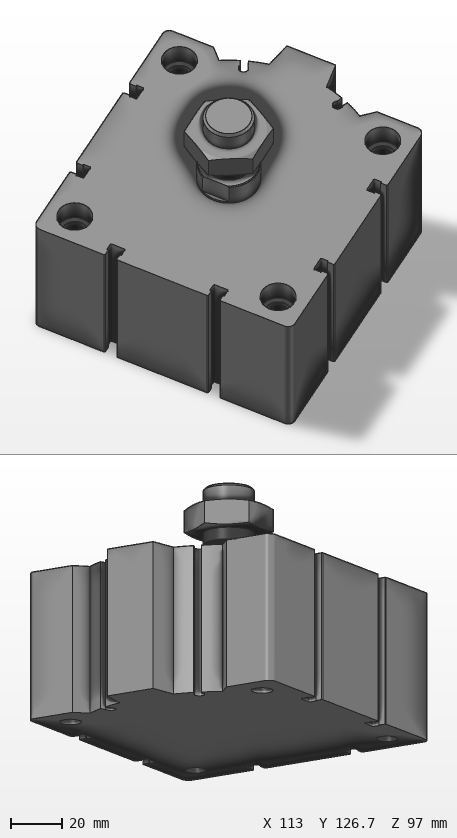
import cadquery as cq
import math


HOUSING_WIDTH = 113.0
HOUSING_HEIGHT = 59.0
CORNER_RADIUS = 3.0
HALF_WIDTH = HOUSING_WIDTH / 2

OVERALL_DEPTH = 126.7
RAIL_TOP_Y = OVERALL_DEPTH - HALF_WIDTH
RAIL_TOP_HALF_WIDTH = 10.6
RAIL_ROOT_HALF_WIDTH = 12.5
BACK_ARC_RADIUS = 60.0
SHOULDER_X = 35.7

KEYHOLE_ANGLE = 21.4
KEYHOLE_CENTRE_RADIUS = 56.4
KEYHOLE_DIAMETER = 4.0
KEYHOLE_NECK_WIDTH = 3.2
KEYHOLE_OVERSHOOT = 1.3

SLOT_OFFSET = 22.5
SLOT_MOUTH_WIDTH = 5.1
SLOT_LIP_DEPTH = 3.0
SLOT_INNER_WIDTH = 6.3
SLOT_DEPTH = 6.2
SLOT_EDGE_CHAMFER = 0.4
SLOT_FLOOR_RADIUS = 0.5

HOLE_OFFSET = 44.5
HOLE_DIAMETER = 8.4
COUNTERBORE_DIAMETER = 14.0
COUNTERBORE_DEPTH = 9.0
HOLE_MOUTH_DIAMETER = 10.0

COLLAR_DIAMETER = 25.0
COLLAR_HEIGHT = 10.0
COLLAR_CHAMFER = 0.4
FLATS_WIDTH = 22.0
FLATS_START = 1.0
NECK_DIAMETER = 17.9
NECK_FOOT_DIAMETER = 18.4
NECK_FOOT_HEIGHT = 10.4
NECK_START = 11.9
NECK_END = 12.4
THREAD_DIAMETER = 20.0
THREAD_START = 15.3
THREAD_CHAMFER = 1.0
ROD_HEIGHT = 38.0

NUT_WIDTH = 30.0
NUT_START = 20.0
NUT_HEIGHT = 10.0
NUT_CHAMFER_ANGLE = 15.0
HEXAGON_HALF_ANGLE = 30.0


def on_back_arc(x):
    return (x, math.sqrt(BACK_ARC_RADIUS**2 - x**2))


def make_profile():
    """Extruded housing outline, before rounding and cutting."""
    rise = HALF_WIDTH - SHOULDER_X
    notch_offset = (math.sqrt(2 * BACK_ARC_RADIUS**2 - rise**2) - rise) / 2
    root_x, root_y = on_back_arc(RAIL_ROOT_HALF_WIDTH)
    notch_x, notch_y = on_back_arc(notch_offset)
    mid_x, mid_y = on_back_arc((root_x + notch_x) / 2)
    return (
        cq.Workplane("XY")
        .moveTo(-HALF_WIDTH, -HALF_WIDTH)
        .lineTo(HALF_WIDTH, -HALF_WIDTH)
        .lineTo(HALF_WIDTH, HALF_WIDTH)
        .lineTo(SHOULDER_X, HALF_WIDTH)
        .lineTo(notch_x, notch_y)
        .threePointArc((mid_x, mid_y), (root_x, root_y))
        .lineTo(RAIL_TOP_HALF_WIDTH, RAIL_TOP_Y)
        .lineTo(-RAIL_TOP_HALF_WIDTH, RAIL_TOP_Y)
        .lineTo(-root_x, root_y)
        .threePointArc((-mid_x, mid_y), (-notch_x, notch_y))
        .lineTo(-SHOULDER_X, HALF_WIDTH)
        .lineTo(-HALF_WIDTH, HALF_WIDTH)
        .close()
        .extrude(HOUSING_HEIGHT)
    )


def round_corners(body):
    for x_side in (-1, 1):
        for y_side in (-1, 1):
            corner = (x_side * HALF_WIDTH, y_side * HALF_WIDTH, HOUSING_HEIGHT / 2)
            body = body.edges(cq.selectors.NearestToPointSelector(corner)).fillet(CORNER_RADIUS)
    return body


def make_t_slot(offset):
    """T-slot cutter in the -Y side at X = offset, with a chamfered mouth and rounded floor corners."""
    mouth = SLOT_MOUTH_WIDTH / 2
    inner = SLOT_INNER_WIDTH / 2
    half_outline = [
        (mouth + SLOT_EDGE_CHAMFER, 0),
        (mouth, SLOT_EDGE_CHAMFER),
        (mouth, SLOT_LIP_DEPTH),
        (inner, SLOT_LIP_DEPTH),
        (inner, SLOT_DEPTH),
    ]
    mirrored_half = [(-x, depth) for x, depth in reversed(half_outline)]
    return (
        cq.Workplane("XY")
        .polyline(half_outline + mirrored_half)
        .close()
        .extrude(HOUSING_HEIGHT)
        .faces(">Y")
        .edges("|Z")
        .fillet(SLOT_FLOOR_RADIUS)
        .translate((offset, -HALF_WIDTH, 0))
    )


def make_keyhole(angle):
    """Keyhole cutter in the back arc, turned by angle from the +Y direction."""
    neck_length = BACK_ARC_RADIUS + KEYHOLE_OVERSHOOT - KEYHOLE_CENTRE_RADIUS
    neck = (
        cq.Workplane("XY")
        .center(0, KEYHOLE_CENTRE_RADIUS + neck_length / 2)
        .rect(KEYHOLE_NECK_WIDTH, neck_length)
        .extrude(HOUSING_HEIGHT)
    )
    round_end = (
        cq.Workplane("XY")
        .center(0, KEYHOLE_CENTRE_RADIUS)
        .circle(KEYHOLE_DIAMETER / 2)
        .extrude(HOUSING_HEIGHT)
    )
    return neck.union(round_end).rotate((0, 0, 0), (0, 0, 1), angle)


def make_mounting_hole(x, y):
    """Through hole with a counterbore and a 45 degree chamfer at the counterbore floor."""
    floor = HOUSING_HEIGHT - COUNTERBORE_DEPTH
    chamfer = (HOLE_MOUTH_DIAMETER - HOLE_DIAMETER) / 2
    return (
        cq.Workplane("XZ")
        .moveTo(0, 0)
        .lineTo(HOLE_DIAMETER / 2, 0)
        .lineTo(HOLE_DIAMETER / 2, floor - chamfer)
        .lineTo(HOLE_MOUTH_DIAMETER / 2, floor)
        .lineTo(COUNTERBORE_DIAMETER / 2, floor)
        .lineTo(COUNTERBORE_DIAMETER / 2, HOUSING_HEIGHT)
        .lineTo(0, HOUSING_HEIGHT)
        .close()
        .revolve(360, (0, 0, 0), (0, 1, 0))
        .translate((x, y, 0))
    )


def make_housing():
    body = round_corners(make_profile())
    for side_angle in (-90, 0, 90):
        for offset in (-SLOT_OFFSET, SLOT_OFFSET):
            body = body.cut(make_t_slot(offset).rotate((0, 0, 0), (0, 0, 1), side_angle))
    for angle in (-KEYHOLE_ANGLE, KEYHOLE_ANGLE):
        body = body.cut(make_keyhole(angle))
    for x in (-HOLE_OFFSET, HOLE_OFFSET):
        for y in (-HOLE_OFFSET, HOLE_OFFSET):
            body = body.cut(make_mounting_hole(x, y))
    return body


def make_rod():
    """Rod end standing on the housing: collar with two flats, neck groove and thread."""
    collar_radius = COLLAR_DIAMETER / 2
    thread_radius = THREAD_DIAMETER / 2
    rod = (
        cq.Workplane("XZ")
        .moveTo(0, 0)
        .lineTo(collar_radius, 0)
        .lineTo(collar_radius, COLLAR_HEIGHT - COLLAR_CHAMFER)
        .lineTo(collar_radius - COLLAR_CHAMFER, COLLAR_HEIGHT)
        .lineTo(NECK_FOOT_DIAMETER / 2, COLLAR_HEIGHT)
        .lineTo(NECK_FOOT_DIAMETER / 2, NECK_FOOT_HEIGHT)
        .lineTo(NECK_DIAMETER / 2, NECK_START)
        .lineTo(NECK_DIAMETER / 2, NECK_END)
        .lineTo(thread_radius, THREAD_START)
        .lineTo(thread_radius, ROD_HEIGHT - THREAD_CHAMFER)
        .lineTo(thread_radius - THREAD_CHAMFER, ROD_HEIGHT)
        .lineTo(0, ROD_HEIGHT)
        .close()
        .revolve(360, (0, 0, 0), (0, 1, 0))
    )
    flats_height = COLLAR_HEIGHT - FLATS_START
    for side in (-1, 1):
        beyond_flat = (
            cq.Workplane("XY", origin=(0, side * (FLATS_WIDTH + COLLAR_DIAMETER) / 2, FLATS_START))
            .rect(COLLAR_DIAMETER, COLLAR_DIAMETER)
            .extrude(flats_height)
        )
        rod = rod.cut(beyond_flat)
    return rod.translate((0, 0, HOUSING_HEIGHT))


def make_nut():
    """Hexagon nut with flats on the X sides and both ends chamfered at the corners."""
    corner_radius = NUT_WIDTH / 2 / math.cos(math.radians(HEXAGON_HALF_ANGLE))
    chamfer_height = (corner_radius - NUT_WIDTH / 2) * math.tan(math.radians(NUT_CHAMFER_ANGLE))
    hexagon = (
        cq.Workplane("XY")
        .polygon(6, 2 * corner_radius)
        .extrude(NUT_HEIGHT)
        .rotate((0, 0, 0), (0, 0, 1), HEXAGON_HALF_ANGLE)
    )
    chamfer_limit = (
        cq.Workplane("XZ")
        .moveTo(0, 0)
        .lineTo(NUT_WIDTH / 2, 0)
        .lineTo(corner_radius, chamfer_height)
        .lineTo(corner_radius, NUT_HEIGHT - chamfer_height)
        .lineTo(NUT_WIDTH / 2, NUT_HEIGHT)
        .lineTo(0, NUT_HEIGHT)
        .close()
        .revolve(360, (0, 0, 0), (0, 1, 0))
    )
    bore = cq.Workplane("XY").circle(THREAD_DIAMETER / 2).extrude(NUT_HEIGHT)
    nut = hexagon.intersect(chamfer_limit).cut(bore)
    return nut.translate((0, 0, HOUSING_HEIGHT + NUT_START))


housing = make_housing()
rod = make_rod()
nut = make_nut()

result = cq.Compound.makeCompound([housing.val(), rod.val(), nut.val()])